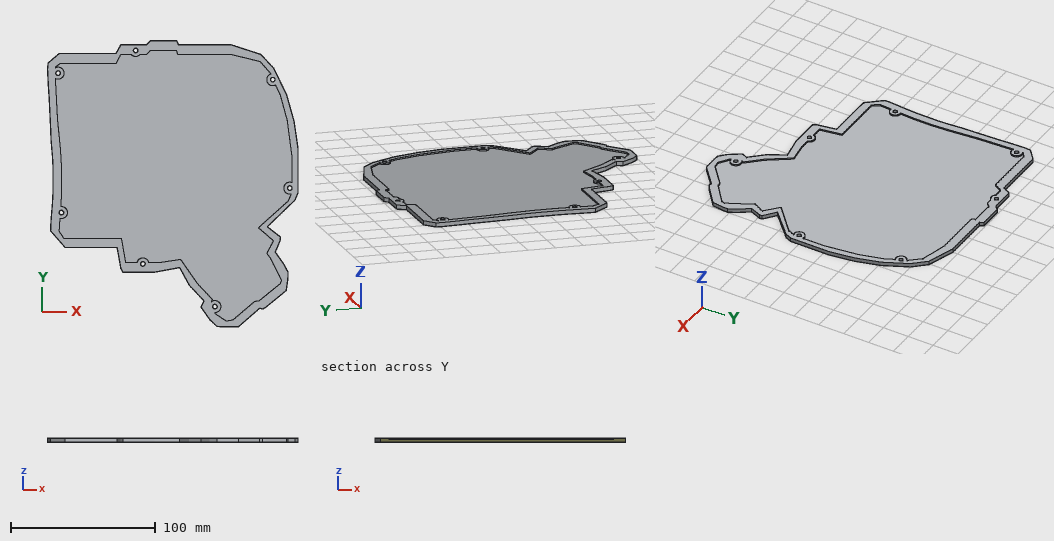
import cadquery as cq

PLATE_THICKNESS = 3.0
PLATE_WIDTH = 173.31
PLATE_LENGTH = 197.92

RECESS_DEPTH = 1.0

SCREW_HOLE_DIAMETER = 3.0
BOSS_DIAMETER = 8.3

PLATE_CORNERS = [
    (0.4, 182.4),
    (8.2, 189.1),
    (47.4, 189.1),
    (50.8, 195.2),
    (68.6, 195.2),
    (71.2, PLATE_LENGTH),
    (89.4, PLATE_LENGTH),
    (90.6, 195.2),
    (126.7, 195.2),
    (147.6, 188.4),
    (156.5, 178.8),
    (165.4, 160.6),
    (170.6, 142.1),
    (PLATE_WIDTH, 123.6),
    (PLATE_WIDTH, 92.5),
    (171.2, 87.6),
    (152.1, 69.2),
    (161.2, 62.1),
    (161.1, 59.9),
    (157.6, 51.7),
    (163.4, 43.5),
    (166.5, 37.7),
    (166.3, 32.9),
    (165.2, 25.1),
    (150.9, 13.4),
    (148.7, 12.2),
    (146.8, 12.8),
    (132.1, 0.0),
    (119.9, 0.0),
    (117.3, 0.2),
    (112.3, 4.8),
    (106.1, 13.7),
    (108.2, 17.9),
    (98.0, 28.8),
    (91.4, 40.9),
    (74.2, 37.7),
    (52.1, 37.7),
    (50.7, 40.4),
    (48.1, 54.8),
    (12.1, 54.8),
    (11.0, 56.2),
    (2.6, 65.8),
    (2.1, 66.4),
    (2.4, 73.3),
    (3.35, 84.9),
    (3.75, 92.5),
    (3.8, 110.3),
    (3.4, 117.8),
    (2.4, 129.5),
    (2.2, 135.6),
    (1.85, 143.2),
    (1.1, 158.9),
    (0.6, 165.8),
    (0.0, 178.1),
]

RECESS_CORNERS = [
    (5.5, 179.5),
    (8.9, 182.2),
    (47.5, 182.2),
    (50.8, 188.4),
    (68.6, 188.4),
    (71.2, 191.1),
    (89.1, 191.1),
    (90.2, 188.4),
    (126.7, 188.4),
    (147.1, 183.4),
    (154.3, 175.2),
    (157.9, 166.8),
    (161.0, 160.3),
    (165.8, 142.8),
    (169.2, 116.8),
    (169.2, 100.0),
    (168.5, 91.8),
    (166.5, 87.0),
    (145.9, 68.5),
    (156.3, 59.5),
    (151.7, 50.8),
    (154.1, 47.6),
    (161.9, 32.2),
    (161.0, 29.8),
    (146.2, 17.9),
    (143.3, 17.6),
    (128.2, 4.7),
    (123.6, 4.0),
    (116.0, 9.1),
    (113.2, 17.1),
    (114.0, 19.0),
    (103.8, 29.8),
    (92.1, 46.6),
    (78.1, 44.5),
    (54.1, 44.5),
    (51.2, 61.0),
    (11.4, 61.0),
    (8.1, 66.1),
    (9.9, 93.5),
    (9.9, 108.0),
    (9.0, 122.8),
    (6.95, 143.8),
    (5.5, 171.6),
]

SCREW_CENTRES = [
    (7.4, 175.4),
    (61.0, 191.1),
    (155.8, 170.9),
    (167.6, 95.9),
    (115.8, 14.0),
    (66.0, 43.5),
    (9.7, 79.0),
]


def plate_blank():
    """Flat plate with the full outline."""
    return cq.Workplane("XY").polyline(PLATE_CORNERS).close().extrude(PLATE_THICKNESS)


def screw_cylinders(diameter):
    """Full-height cylinders at every screw position."""
    return cq.Workplane("XY").pushPoints(SCREW_CENTRES).circle(diameter / 2).extrude(PLATE_THICKNESS)


def recess_cutter():
    """Volume removed from the top face, leaving the rim and the screw bosses standing."""
    floor = cq.Workplane("XY").workplane(offset=PLATE_THICKNESS - RECESS_DEPTH)
    pocket = floor.polyline(RECESS_CORNERS).close().extrude(RECESS_DEPTH)
    return pocket.cut(screw_cylinders(BOSS_DIAMETER))


result = plate_blank().cut(recess_cutter()).cut(screw_cylinders(SCREW_HOLE_DIAMETER))